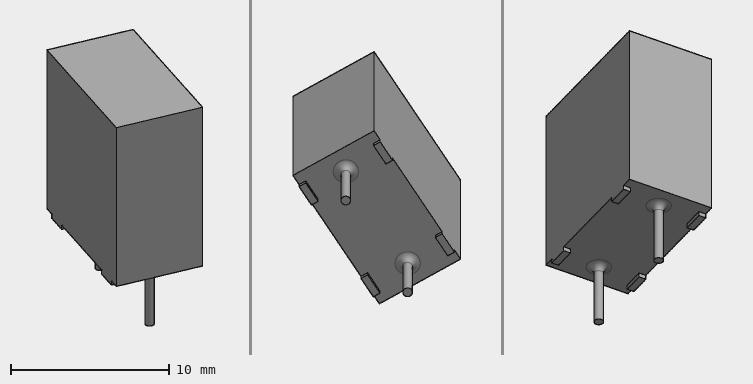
import cadquery as cq
import math

body_length = 10.5
body_width = 6.0
total_height = 16.0

foot_length = 1.5
foot_depth = 0.5
foot_height = 0.3

lead_spacing = 7.5
lead_diameter = 0.6
lead_below_feet = 4.0
flare_radius = 0.5

body_bottom = foot_height
body_height = total_height - lead_below_feet - foot_height
lead_positions = (-lead_spacing / 2, lead_spacing / 2)


def make_body():
    return (
        cq.Workplane("XY")
        .workplane(offset=body_bottom)
        .rect(body_length, body_width)
        .extrude(body_height)
    )


def make_feet():
    foot_offset = (body_width - foot_depth) / 2
    centers = [(x, y) for x in lead_positions for y in (-foot_offset, foot_offset)]
    return cq.Workplane("XY").pushPoints(centers).rect(foot_length, foot_depth).extrude(foot_height)


def make_lead(x):
    """Revolve the half profile of a lead about its vertical axis."""
    lead_radius = lead_diameter / 2
    flare_bottom = body_bottom - flare_radius
    arc_inset = flare_radius * (1 - math.cos(math.pi / 4))
    profile = (
        cq.Workplane("XZ")
        .moveTo(0, -lead_below_feet)
        .lineTo(lead_radius, -lead_below_feet)
        .lineTo(lead_radius, flare_bottom)
        .threePointArc(
            (lead_radius + arc_inset, body_bottom - arc_inset),
            (lead_radius + flare_radius, body_bottom),
        )
        .lineTo(0, body_bottom)
        .close()
    )
    return profile.revolve(360, (0, 0, 0), (0, 1, 0)).translate((x, 0, 0))


result = make_body().union(make_feet())
for lead_x in lead_positions:
    result = result.union(make_lead(lead_x))